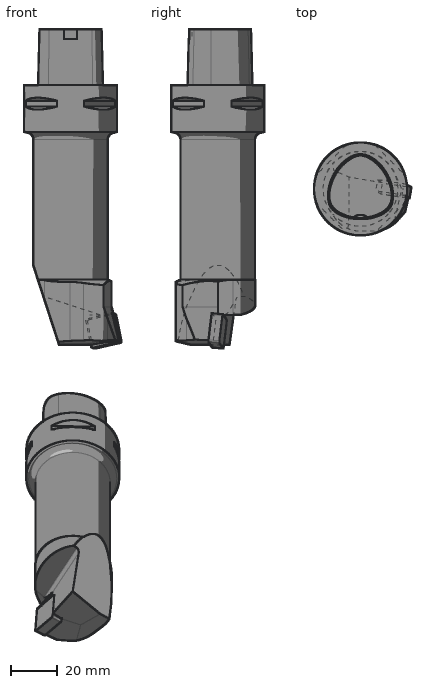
import cadquery as cq
import math

total_length = 137.0
taper_base_z = 113.0
flange_bottom_z = 93.0
flange_radius = 20.0
shank_radius = 16.0

lobe_radius = 14.0
lobe_eccentricity = 1.0
taper_ratio = 1 / 40
lobe_face_count = 6
points_per_face = 9
key_radius = 4.0
key_centre_y = -15.1
key_depth = 4.2

groove_z = 105.1
groove_floor_radius = 17.7
groove_floor_half_width = 1.2
groove_side_angle = 30.0
groove_count = 4
neck_fillet = 2.9
neck_bevel_drop = 0.4

head_top_z = 29.6
head_radius = 16.2
head_bottom_z = 1.6
shoulder_slope = 0.5
front_y = -18.1
front_flat_left = -0.3
front_flat_right = 5.5
left_arc_radius = 13.0
left_arc_sweep = 57.5
right_arc_radius = 14.0
right_arc_sweep = 48.0
head_reach = 21.9
flank_x = 17.7
flank_bend_z = 17.8
flank_y_slope = 0.23
flank_angle = 15.0
back_angle = 18.0
back_start_z = 35.8
bevel_start_y = -11.0
bevel_slope = 0.24
bevel_x_slope = 0.04
heel_start_x = 9.6
heel_angle = 9.0
heel_y_slope = 0.07

roof_z = 18.6
roof_end_z = 14.5
flute_fillet = 1.4
rake_y = 4.1
rake_x_slope = -0.17
rake_z_slope = 0.085

insert_side = 12.7
insert_thickness = 4.8
insert_nose_radius = 0.8
insert_angle = 12.6
insert_tip_x = 9.7
insert_tip_z = -0.16

big = 137.0


def half_space(point, normal):
    """Large block that starts at a plane and fills the side its normal points to."""
    return cq.Workplane(cq.Plane(origin=point, normal=normal)).rect(2 * big, 2 * big).extrude(big)


def lobe_point(radius, angle):
    """Point of the lobed curve whose outward normal has the given angle."""
    support = radius - lobe_eccentricity * math.sin(3 * angle)
    slope = -3 * lobe_eccentricity * math.cos(3 * angle)
    return (
        support * math.cos(angle) - slope * math.sin(angle),
        support * math.sin(angle) + slope * math.cos(angle),
    )


def lobe_wire(radius, z):
    """Closed lobed outline made of alternating lobe and flank curves."""
    face_angle = 2 * math.pi / lobe_face_count
    edges = []
    for face in range(lobe_face_count):
        angles = [face_angle * (face + i / (points_per_face - 1)) for i in range(points_per_face)]
        points = [cq.Vector(*lobe_point(radius, angle), z) for angle in angles]
        tangents = [cq.Vector(-math.sin(a), math.cos(a), 0) for a in (angles[0], angles[-1])]
        edges.append(cq.Edge.makeSpline(points, tangents=tangents))
    return cq.Wire.assembleEdges(edges)


def make_taper():
    top_radius = lobe_radius - taper_ratio * (total_length - taper_base_z)
    outlines = [lobe_wire(lobe_radius, taper_base_z), lobe_wire(top_radius, total_length)]
    taper = cq.Workplane(cq.Solid.makeLoft(outlines, True))
    key_slot = (
        cq.Workplane("XY", origin=(0, key_centre_y, total_length - key_depth))
        .circle(key_radius)
        .extrude(2 * key_depth)
    )
    return taper.cut(key_slot)


def make_shank():
    """Flange and neck turned as one profile."""
    bevel_z = flange_bottom_z - neck_bevel_drop
    arc_offset = neck_fillet * (1 - math.sqrt(0.5))
    return (
        cq.Workplane("XZ")
        .moveTo(0, head_top_z)
        .lineTo(shank_radius, head_top_z)
        .lineTo(shank_radius, bevel_z - neck_fillet)
        .threePointArc(
            (shank_radius + arc_offset, bevel_z - arc_offset),
            (shank_radius + neck_fillet, bevel_z),
        )
        .lineTo(flange_radius, flange_bottom_z)
        .lineTo(flange_radius, taper_base_z)
        .lineTo(0, taper_base_z)
        .close()
        .revolve(360, (0, 0, 0), (0, 1, 0))
    )


def make_groove(angle):
    """Straight groove with sloped sides, cut tangentially into the flange."""
    cut_depth = 2 * (flange_radius - groove_floor_radius)
    outer_half_width = groove_floor_half_width + cut_depth * math.tan(math.radians(groove_side_angle))
    outer_radius = groove_floor_radius + cut_depth
    return (
        cq.Workplane("XZ")
        .polyline([
            (groove_floor_radius, groove_z - groove_floor_half_width),
            (outer_radius, groove_z - outer_half_width),
            (outer_radius, groove_z + outer_half_width),
            (groove_floor_radius, groove_z + groove_floor_half_width),
        ])
        .close()
        .extrude(flange_radius, both=True)
        .rotate((0, 0, 0), (0, 0, 1), angle)
    )


def arc_point(centre, radius, degrees):
    angle = math.radians(degrees)
    return (centre[0] + radius * math.cos(angle), centre[1] + radius * math.sin(angle))


def make_head_stock():
    """Bulged outline carried up to a conical shoulder."""
    left_centre = (front_flat_left, front_y + left_arc_radius)
    right_centre = (front_flat_right, front_y + right_arc_radius)
    left_angle = 270 - left_arc_sweep
    right_angle = 270 + right_arc_sweep
    left_end = arc_point(left_centre, left_arc_radius, left_angle)
    right_end = arc_point(right_centre, right_arc_radius, right_angle)
    reach_y = right_end[1] + (head_reach - right_end[0]) * math.tan(math.radians(right_arc_sweep))
    tangent_angle = math.degrees(math.acos(head_radius / flank_x))
    outline = (
        cq.Workplane("XY", origin=(0, 0, head_bottom_z))
        .moveTo(*arc_point((0, 0), head_radius, left_angle))
        .lineTo(*left_end)
        .threePointArc(
            arc_point(left_centre, left_arc_radius, 270 - left_arc_sweep / 2),
            (front_flat_left, front_y),
        )
        .lineTo(front_flat_right, front_y)
        .threePointArc(
            arc_point(right_centre, right_arc_radius, 270 + right_arc_sweep / 2),
            right_end,
        )
        .lineTo(head_reach, reach_y)
        .lineTo(head_reach, 0)
        .lineTo(flank_x, 0)
        .lineTo(*arc_point((0, 0), head_radius, tangent_angle))
        .threePointArc(
            arc_point((0, 0), head_radius, (tangent_angle + left_angle) / 2),
            arc_point((0, 0), head_radius, left_angle),
        )
        .close()
        .extrude(head_top_z - head_bottom_z)
    )
    rim_radius = 2 * shank_radius
    rim_z = head_top_z - shoulder_slope * (rim_radius - shank_radius)
    shoulder = (
        cq.Workplane("XZ")
        .polyline([
            (0, 0),
            (rim_radius, 0),
            (rim_radius, rim_z),
            (shank_radius, head_top_z),
            (0, head_top_z),
        ])
        .close()
        .revolve(360, (0, 0, 0), (0, 1, 0))
    )
    return outline.intersect(shoulder)


def make_flank_cut():
    """Space outside the upright upper flank and the sloped flank beside the insert."""
    flank_slope = math.tan(math.radians(flank_angle))
    bend = (flank_x, 0, flank_bend_z)
    upper = half_space(bend, (1, -flank_y_slope, 0))
    lower = half_space(bend, (1, -flank_y_slope, flank_slope))
    return upper.intersect(lower)


def make_back_cut():
    angle = math.radians(back_angle)
    return half_space((-shank_radius, 0, back_start_z), (-math.cos(angle), 0, -math.sin(angle)))


def make_front_bevel():
    return half_space((0, bevel_start_y, head_bottom_z), (bevel_x_slope, -bevel_slope, -1))


def make_heel_cut():
    """Clearance under the head, rising towards the cutting corner."""
    heel_slope = math.tan(math.radians(heel_angle))
    return half_space((heel_start_x, 0, head_bottom_z), (heel_slope, -heel_y_slope, -1))


rake_normal = cq.Vector(-rake_x_slope, 1, -rake_z_slope)


def make_flute():
    """Chip space in front of the rake plane, under an inclined roof."""
    roof_slope = math.tan(math.radians(back_angle))
    reach = 3 * shank_radius
    profile = (
        cq.Workplane("XZ")
        .polyline([
            (-reach, -reach),
            (reach, -reach),
            (reach, roof_end_z),
            ((roof_z - roof_end_z) / roof_slope, roof_end_z),
            (-reach, roof_z + roof_slope * reach),
        ])
        .close()
        .extrude(reach, both=True)
    )
    space = profile.intersect(half_space((0, rake_y, 0), rake_normal.toTuple()))
    root_z = roof_z + roof_slope * shank_radius
    root_corner = cq.selectors.NearestToPointSelector((-shank_radius, rake_y, root_z))
    return space.faces("<Y").edges(root_corner).fillet(flute_fillet)


def make_insert():
    """Square plate whose top face lies in the rake plane."""
    angle = math.radians(insert_angle)
    edge_direction = cq.Vector(
        math.cos(angle),
        rake_x_slope * math.cos(angle) + rake_z_slope * math.sin(angle),
        math.sin(angle),
    )
    tip_y = rake_y + rake_x_slope * insert_tip_x + rake_z_slope * insert_tip_z
    tip = (insert_tip_x, tip_y, insert_tip_z)
    plane = cq.Plane(origin=tip, xDir=edge_direction.toTuple(), normal=rake_normal.toTuple())
    return (
        cq.Workplane(plane)
        .center(insert_side / 2, -insert_side / 2)
        .rect(insert_side, insert_side)
        .extrude(-insert_thickness)
        .edges(cq.selectors.ParallelDirSelector(rake_normal))
        .fillet(insert_nose_radius)
    )


def make_holder(insert):
    holder = make_shank().union(make_taper())
    for i in range(groove_count):
        holder = holder.cut(make_groove(360 / groove_count * (i + 0.5)))
    head = make_head_stock()
    for cut in (make_flank_cut(), make_front_bevel(), make_heel_cut(), make_flute()):
        head = head.cut(cut)
    return holder.union(head).cut(make_back_cut()).cut(insert)


insert = make_insert()
holder = make_holder(insert)

result = cq.Compound.makeCompound([holder.val(), insert.val()])